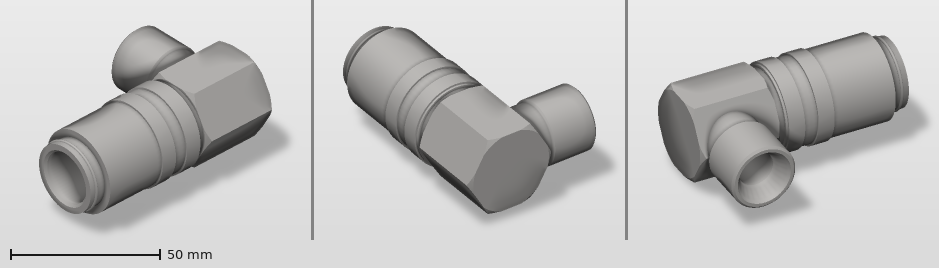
import cadquery as cq
import math


hex_flats = 30.0
hex_length = 30.2
hex_corners = hex_flats / math.cos(math.radians(30))
hex_back_y = 13.5
hex_front_y = hex_back_y - hex_length
hex_face_radius = 15.4
hex_chamfer_length = 1.4

neck_radius = 14.5
body_radius = 15.5
band_radius = 16.2
nose_radius = 12.7
body_start = 32.4
band_starts = (33.2, 44.2)
band_width = 6.0
body_end = 73.6
ring_centre = 77.4
ring_wire_radius = 0.6
total_length = 80

socket_radius = 9.6
socket_mouth_radius = 10.5
socket_mouth_depth = 0.9
socket_depth = 28
passage_radius = 7.0
passage_end_y = passage_radius

port_end_x = -36.3
port_radius = 12
port_length = 18.0
port_chamfer = 0.8
port_neck_radius = 11.2
port_mouth_radius = 10.0
port_bore_radius = 6.5
port_cone_depth = 6.4


def rod_y(radius, start_y, end_y):
    """Cylinder on the Y axis running towards -Y."""
    plane = cq.Workplane("XZ", origin=(0, start_y, 0))
    return plane.circle(radius).extrude(start_y - end_y)


def sleeve_rod(radius, start, end):
    """Cylinder on the Y axis between two distances from the back face."""
    return rod_y(radius, hex_back_y - start, hex_back_y - end)


def revolve_y(profile):
    return cq.Workplane("XY").polyline(profile).close().revolve(360, (0, 0), (0, 1))


def revolve_x(profile):
    return cq.Workplane("XY").polyline(profile).close().revolve(360, (0, 0), (1, 0))


def make_hexagon():
    block = cq.Workplane("XZ", origin=(0, hex_back_y, 0))
    block = block.polygon(6, hex_corners).extrude(hex_length)
    envelope = revolve_y([
        (0, hex_back_y),
        (hex_face_radius, hex_back_y),
        (hex_corners / 2, hex_back_y - hex_chamfer_length),
        (hex_corners / 2, hex_front_y + hex_chamfer_length),
        (hex_face_radius, hex_front_y),
        (0, hex_front_y),
    ])
    return block.intersect(envelope)


def make_ring():
    """Snap ring of round wire, half sunk into the nose."""
    ring = cq.Workplane("XY").center(nose_radius, hex_back_y - ring_centre).circle(ring_wire_radius)
    return ring.revolve(360, (-nose_radius, 0), (-nose_radius, 1))


def make_sleeve():
    sleeve = sleeve_rod(neck_radius, hex_length, body_end)
    sleeve = sleeve.union(sleeve_rod(body_radius, body_start, body_end))
    for start in band_starts:
        sleeve = sleeve.union(sleeve_rod(band_radius, start, start + band_width))
    sleeve = sleeve.union(sleeve_rod(nose_radius, body_end, total_length))
    return sleeve.union(make_ring())


def make_port():
    port_back_x = port_end_x + port_length
    return revolve_x([
        (port_end_x, 0),
        (port_end_x, port_radius - port_chamfer),
        (port_end_x + port_chamfer, port_radius),
        (port_back_x - port_chamfer, port_radius),
        (port_back_x, port_neck_radius),
        (0, port_neck_radius),
        (0, 0),
    ])


def make_socket_bore():
    mouth_y = hex_back_y - total_length
    socket = revolve_y([
        (0, mouth_y),
        (socket_mouth_radius, mouth_y),
        (socket_radius, mouth_y + socket_mouth_depth),
        (socket_radius, mouth_y + socket_depth),
        (0, mouth_y + socket_depth),
    ])
    return socket.union(rod_y(passage_radius, passage_end_y, mouth_y + socket_depth))


def make_port_bore():
    return revolve_x([
        (port_end_x, 0),
        (port_end_x, port_mouth_radius),
        (port_end_x + port_cone_depth, port_bore_radius),
        (0, port_bore_radius),
        (0, 0),
    ])


outside = make_hexagon().union(make_sleeve()).union(make_port())
result = outside.cut(make_socket_bore()).cut(make_port_bore())